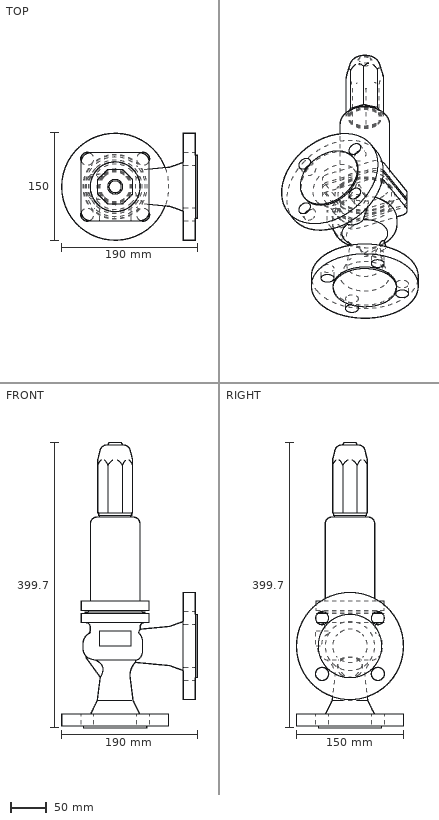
import cadquery as cq
import math

overall_height = 399.7
overall_width = 190.0

flange_diameter = 150.0
flange_back = 20.0
raised_face_height = 2.8
raised_face_radius = 44.5
bolt_count = 4
bolt_circle_radius = 55.0
bolt_hole_diameter = 18.0
hub_radius = 34.5
hub_end = 38.8

centre_to_face = overall_width - flange_diameter / 2

inlet_hub_end_radius = 25.0
neck_radius = 20.8
neck_z = 73.5
outlet_hub_end_radius = 27.5
outlet_inner_radius = 20.5

bulge_radius = 45.0
bulge_low_z = 112.0
bulge_high_z = 118.0
bulge_round = 17.0
bulge_bottom_radius = 32.0
bulge_bottom_z = 95.0
neck_blend = 26.5
collar_blend = 4.5
shoulder_radius = 37.0
shoulder_z = 132.5
collar_radius = 35.0
collar_low_z = 136.0
collar_flare = 5.5

square_side = 95.0
square_corner_radius = 12.8
lower_square_z = 147.5
lower_square_thickness = 13.0
upper_square_z = 164.3
upper_square_thickness = 13.5
gasket_radius = 42.0
gasket_thickness = 1.5
spigot_radius = 37.5

bonnet_radius = 34.8
bonnet_top_z = 295.5
bonnet_round = 9.5
groove_radius = 22.0
ring_radius = 23.0
ring_z = 297.5

cap_z = 301.0
cap_flats = 48.8
cap_sides = 8
cap_shoulder_z = 388.5
cap_shoulder_radius = 21.0
cap_taper = 0.25
cap_top_z = 396.0
cap_top_radius = 12.5
tip_base_radius = 10.5
tip_top_radius = 8.5

plate_width = 44.0
plate_low_z = 115.0
plate_front = 48.0
plate_root = 20.0

boss_radius = 17.5
boss_face_x = -30.8
boss_face_z = 84.7
boss_tilt = 36.0
boss_length = 28.0

profile_plane = cq.Plane(origin=(0, 0, 0), xDir=(-1, 0, 0), normal=(0, 1, 0))


def revolve_about_z(profile):
    return profile.close().revolve(360, (0, 0, 0), (0, 1, 0))


def flanged_pipe(hub_end_radius, pipe_end_radius, pipe_end):
    """Bolted flange, hub and tapering pipe along +Z with the sealing face at the origin."""
    flange_radius = flange_diameter / 2
    body = revolve_about_z(
        cq.Workplane(profile_plane)
        .moveTo(0, 0)
        .lineTo(raised_face_radius, 0)
        .lineTo(raised_face_radius, raised_face_height)
        .lineTo(flange_radius, raised_face_height)
        .lineTo(flange_radius, flange_back)
        .lineTo(hub_radius, flange_back)
        .lineTo(hub_end_radius, hub_end)
        .lineTo(pipe_end_radius, pipe_end)
        .lineTo(0, pipe_end)
    )
    bolt_holes = (
        cq.Workplane("XY")
        .polarArray(bolt_circle_radius, 180 / bolt_count, 360, bolt_count)
        .circle(bolt_hole_diameter / 2)
        .extrude(flange_back)
    )
    return body.cut(bolt_holes)


def valve_body():
    """Neck, bulge and collar up to the lower square flange."""
    flare_start_z = lower_square_z - collar_flare
    flare_mid = collar_flare * (1 - math.sqrt(0.5))
    return revolve_about_z(
        cq.Workplane(profile_plane)
        .moveTo(0, neck_z)
        .lineTo(neck_radius, neck_z)
        .radiusArc((bulge_bottom_radius, bulge_bottom_z), neck_blend)
        .radiusArc((bulge_radius, bulge_low_z), -bulge_round)
        .lineTo(bulge_radius, bulge_high_z)
        .radiusArc((shoulder_radius, shoulder_z), -bulge_round)
        .radiusArc((collar_radius, collar_low_z), collar_blend)
        .lineTo(collar_radius, flare_start_z)
        .threePointArc(
            (collar_radius + flare_mid, lower_square_z - flare_mid),
            (collar_radius + collar_flare, lower_square_z),
        )
        .lineTo(0, lower_square_z)
    )


def disc(radius, low_z, high_z):
    return cq.Workplane("XY").workplane(offset=low_z).circle(radius).extrude(high_z - low_z)


def square_flange(low_z, thickness):
    return (
        cq.Workplane("XY")
        .workplane(offset=low_z)
        .rect(square_side, square_side)
        .extrude(thickness)
        .edges("|Z")
        .fillet(square_corner_radius)
    )


def flange_joint():
    """Two square flanges with the gasket and spigot between them."""
    gasket_z = lower_square_z + lower_square_thickness
    lower = square_flange(lower_square_z, lower_square_thickness)
    upper = square_flange(upper_square_z, upper_square_thickness)
    gasket = disc(gasket_radius, gasket_z, gasket_z + gasket_thickness)
    spigot = disc(spigot_radius, gasket_z, upper_square_z)
    return lower.union(gasket).union(spigot).union(upper)


def bonnet():
    """Spring housing with a rounded top edge and the ring below the cap."""
    housing = disc(bonnet_radius, upper_square_z, bonnet_top_z).faces(">Z").edges().fillet(bonnet_round)
    groove = disc(groove_radius, bonnet_top_z, ring_z)
    ring = disc(ring_radius, ring_z, cap_z)
    return housing.union(groove).union(ring)


def cap():
    """Octagonal prism trimmed by a conical crown, topped by a short tapered tip."""
    corner_diameter = cap_flats / math.cos(math.pi / cap_sides)
    prism = (
        cq.Workplane("XY")
        .workplane(offset=cap_z)
        .polygon(cap_sides, corner_diameter)
        .extrude(overall_height - cap_z)
        .rotate((0, 0, 0), (0, 0, 1), 180 / cap_sides)
    )
    cone_base_radius = cap_shoulder_radius + cap_taper * (cap_shoulder_z - cap_z)
    envelope = revolve_about_z(
        cq.Workplane(profile_plane)
        .moveTo(0, cap_z)
        .lineTo(cone_base_radius, cap_z)
        .lineTo(cap_shoulder_radius, cap_shoulder_z)
        .tangentArcPoint((cap_top_radius, cap_top_z), relative=False)
        .lineTo(tip_base_radius, cap_top_z)
        .lineTo(tip_top_radius, overall_height)
        .lineTo(0, overall_height)
    )
    return prism.intersect(envelope)


def name_plate():
    depth = plate_front - plate_root
    height = collar_low_z - plate_low_z
    plate = cq.Workplane("XY").box(plate_width, depth, height, centered=(True, False, False))
    return plate.translate((0, -plate_front, plate_low_z))


def drain_boss():
    tilt = math.radians(boss_tilt)
    inward = cq.Vector(math.cos(tilt), 0, math.sin(tilt))
    face_plane = cq.Plane(origin=(boss_face_x, 0, boss_face_z), xDir=(0, 1, 0), normal=inward)
    return cq.Workplane(face_plane).circle(boss_radius).extrude(boss_length)


inlet = flanged_pipe(inlet_hub_end_radius, neck_radius, neck_z)

outlet = (
    flanged_pipe(outlet_hub_end_radius, outlet_inner_radius, centre_to_face)
    .rotate((0, 0, 0), (-1, 0, 1), 180)
    .translate((centre_to_face, 0, centre_to_face))
)

result = inlet
for piece in (valve_body(), outlet, flange_joint(), bonnet(), cap(), name_plate(), drain_boss()):
    result = result.union(piece)